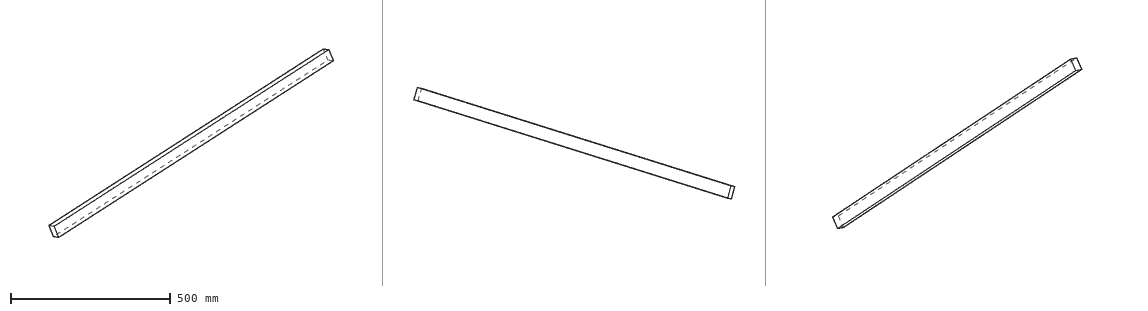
import cadquery as cq
import math

envelope_width = 46.76
bar_length = 1160.67
envelope_height = 50.14

roll_angle = 31.7

end_skew_angle = 3.3

roll_cos = math.cos(math.radians(roll_angle))
roll_sin = math.sin(math.radians(roll_angle))
roll_factor = roll_cos**2 - roll_sin**2
section_width = (envelope_width * roll_cos - envelope_height * roll_sin) / roll_factor
section_height = (envelope_height * roll_cos - envelope_width * roll_sin) / roll_factor

end_setback = envelope_width * math.tan(math.radians(end_skew_angle))


def rolled_bar():
    """Square-ended rectangular bar along Y, rolled about its own axis."""
    bar = cq.Workplane("XY").box(section_width, bar_length, section_height)
    return bar.rotate((0, 0, 0), (0, 1, 0), -roll_angle)


def skewed_end_waste():
    """Wedge beyond the skewed +Y end face, deepest at the -X edge."""
    half_width = envelope_width / 2
    end_y = bar_length / 2
    return (
        cq.Workplane("XY")
        .moveTo(half_width, end_y)
        .lineTo(-half_width, end_y)
        .lineTo(-half_width, end_y - end_setback)
        .close()
        .extrude(envelope_height / 2, both=True)
    )


result = rolled_bar().cut(skewed_end_waste())